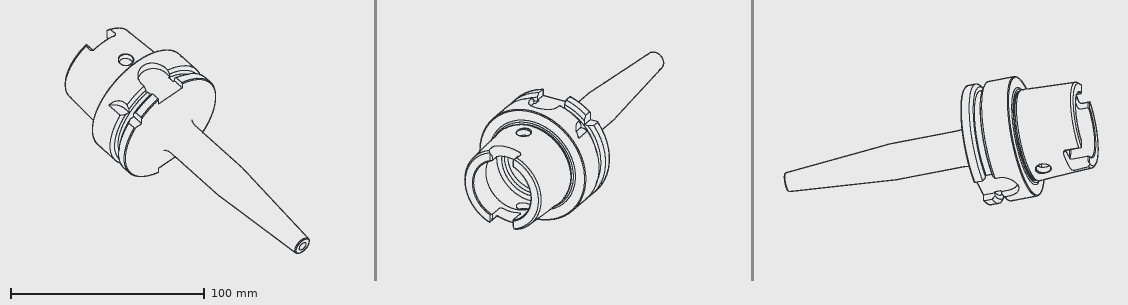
import cadquery as cq
import math

total_length = 162.0
flange_face_x = 32.0
flange_back_x = 58.0
taper_end_x = 30.0
shank_start_x = 67.9
shank_end_x = 104.7

taper_mouth_radius = 22.7
taper_end_radius = 24.05
mouth_chamfer_length = 1.1
mouth_chamfer_depth = 1.0
relief_radius = 23.5
relief_width = 1.0
relief_collar_x = 31.6
relief_collar_radius = 24.6
face_inner_radius = 25.6

flange_radius = 63.0 / 2
flange_chamfer = 0.5
groove_radius = 27.5
groove_start_x = 46.5
groove_wall_start_x = 48.0
groove_wall_radius = 29.6
groove_floor_start_x = 48.3
groove_floor_end_x = 51.7
groove_end_x = 53.3

shank_radius = 19.0 / 2
tip_radius = 10.0 / 2
tip_chamfer = 0.5
root_blend_radius = shank_start_x - flange_back_x

bore_radius = 34.0 / 2
bore_mouth_chamfer = 0.5
clamp_start_x = 13.3
clamp_radius = 40.0 / 2
clamp_cone_length = 1.8
clamp_end_x = 30.0
bore_floor_x = 34.0
bore_floor_chamfer = 1.3
tube_seat_radius = 16.8 / 2
tube_seat_depth = 2.5
coolant_entry_radius = 8.5 / 2
coolant_thread_radius = 6.0 / 2
coolant_thread_end_x = 48.6
coolant_radius = 4.7 / 2

slot_half_width = 6.2
slot_flare_radius = 3.5
slot_flare_start_z = 17.8
slot_corner_radius = 1.6
top_slot_depth = 6.0
bottom_slot_depth = 9.9
slot_mouth_chamfer = 0.8

access_hole_x = 22.8
access_hole_diameter = 7.5
access_hole_rim_diameter = 8.5

keyway_floor_z = 26.5
keyway_start_x = 36.6
keyway_width = 16.2
notch_start_x = 37.0
notch_inset = 19.8
notch_corner_radius = 8.1


def body():
    """Solid of revolution: taper, grooved flange, blended shank and tapered nose."""
    blend_mid_offset = root_blend_radius * (1 - math.sqrt(0.5))
    profile = (
        cq.Workplane("XY")
        .moveTo(0, 0)
        .lineTo(0, taper_mouth_radius - mouth_chamfer_depth)
        .lineTo(mouth_chamfer_length, taper_mouth_radius)
        .lineTo(taper_end_x, taper_end_radius)
        .lineTo(taper_end_x + relief_width, relief_radius)
        .lineTo(relief_collar_x, relief_radius)
        .lineTo(relief_collar_x, relief_collar_radius)
        .lineTo(flange_face_x, face_inner_radius)
        .lineTo(flange_face_x, flange_radius - flange_chamfer)
        .lineTo(flange_face_x + flange_chamfer, flange_radius)
        .lineTo(groove_start_x, flange_radius)
        .lineTo(groove_wall_start_x, groove_wall_radius)
        .lineTo(groove_floor_start_x, groove_radius)
        .lineTo(groove_floor_end_x, groove_radius)
        .lineTo(groove_floor_end_x, groove_wall_radius)
        .lineTo(groove_end_x, flange_radius)
        .lineTo(flange_back_x - flange_chamfer, flange_radius)
        .lineTo(flange_back_x, flange_radius - flange_chamfer)
        .lineTo(flange_back_x, shank_radius + root_blend_radius)
        .threePointArc(
            (flange_back_x + blend_mid_offset, shank_radius + blend_mid_offset),
            (shank_start_x, shank_radius),
        )
        .lineTo(shank_end_x, shank_radius)
        .lineTo(total_length - tip_chamfer, tip_radius)
        .lineTo(total_length, tip_radius - tip_chamfer)
        .lineTo(total_length, 0)
        .close()
    )
    return profile.revolve(360, (0, 0, 0), (1, 0, 0))


def bore():
    """Clamping bore with its undercut, tube seat and through coolant hole."""
    seat_x = bore_floor_x + tube_seat_depth
    entry_depth = coolant_entry_radius - coolant_thread_radius
    profile = (
        cq.Workplane("XY")
        .moveTo(0, 0)
        .lineTo(0, bore_radius + bore_mouth_chamfer)
        .lineTo(bore_mouth_chamfer, bore_radius)
        .lineTo(clamp_start_x, bore_radius)
        .lineTo(clamp_start_x + clamp_cone_length, clamp_radius)
        .lineTo(clamp_end_x, clamp_radius)
        .lineTo(clamp_end_x, bore_radius)
        .lineTo(bore_floor_x - bore_floor_chamfer, bore_radius)
        .lineTo(bore_floor_x, bore_radius - bore_floor_chamfer)
        .lineTo(bore_floor_x, tube_seat_radius)
        .lineTo(seat_x, tube_seat_radius)
        .lineTo(seat_x, coolant_entry_radius)
        .lineTo(seat_x + entry_depth, coolant_thread_radius)
        .lineTo(coolant_thread_end_x, coolant_thread_radius)
        .lineTo(coolant_thread_end_x, coolant_radius)
        .lineTo(total_length, coolant_radius)
        .lineTo(total_length, 0)
        .close()
    )
    return profile.revolve(360, (0, 0, 0), (1, 0, 0))


def drive_slot(depth):
    """Cutter for the slot on the +Z side: straight walls flaring out at the rim."""
    rim_half_width = slot_half_width + slot_flare_radius
    rim_z = slot_flare_start_z + slot_flare_radius
    flare_mid_y = slot_half_width + slot_flare_radius * (1 - math.sqrt(0.5))
    flare_mid_z = slot_flare_start_z + slot_flare_radius * math.sqrt(0.5)
    slot = (
        cq.Workplane("YZ")
        .moveTo(-slot_half_width, 0)
        .lineTo(-slot_half_width, slot_flare_start_z)
        .threePointArc((-flare_mid_y, flare_mid_z), (-rim_half_width, rim_z))
        .lineTo(-rim_half_width, flange_radius)
        .lineTo(rim_half_width, flange_radius)
        .lineTo(rim_half_width, rim_z)
        .threePointArc((flare_mid_y, flare_mid_z), (slot_half_width, slot_flare_start_z))
        .lineTo(slot_half_width, 0)
        .close()
        .extrude(depth)
    )
    slot = slot.faces(">X").edges("not(|Y or >Z)").fillet(slot_corner_radius)
    mouth_half_width = slot_half_width + slot_mouth_chamfer
    mouth = (
        cq.Workplane("XY")
        .moveTo(0, -mouth_half_width)
        .lineTo(slot_mouth_chamfer, -slot_half_width)
        .lineTo(slot_mouth_chamfer, slot_half_width)
        .lineTo(0, mouth_half_width)
        .close()
        .extrude(flange_radius)
    )
    return slot.union(mouth)


def access_hole():
    """Cutter for the cross hole along Z with a countersunk rim at both ends."""
    wall_slope = (taper_end_radius - taper_mouth_radius) / (taper_end_x - mouth_chamfer_length)
    rim_z = taper_mouth_radius + wall_slope * (access_hole_x - mouth_chamfer_length)
    hole_radius = access_hole_diameter / 2
    rim_radius = access_hole_rim_diameter / 2
    half_profile = (
        cq.Workplane("XZ")
        .lineTo(hole_radius, 0)
        .lineTo(hole_radius, rim_z - (rim_radius - hole_radius))
        .lineTo(rim_radius, rim_z)
        .lineTo(rim_radius, flange_radius)
        .lineTo(0, flange_radius)
        .close()
    )
    upper = half_profile.revolve(360, (0, 0, 0), (0, 1, 0)).translate((access_hole_x, 0, 0))
    return upper.union(below(upper))


def keyway():
    """Cutter for the flat-floored keyway on the +Z side, open at the flange back."""
    end_radius = keyway_width / 2
    arc_center_x = keyway_start_x + end_radius
    return (
        cq.Workplane("XY", origin=(0, 0, keyway_floor_z))
        .moveTo(flange_back_x, -end_radius)
        .lineTo(arc_center_x, -end_radius)
        .threePointArc((keyway_start_x, 0), (arc_center_x, end_radius))
        .lineTo(flange_back_x, end_radius)
        .close()
        .extrude(flange_radius)
    )


def index_notch():
    """Cutter for the corner notch between the +Z and -Y sides of the flange."""
    length = flange_back_x - notch_start_x
    return (
        cq.Workplane("XY")
        .box(length, flange_radius, flange_radius, centered=False)
        .edges("|Z and <X and >Y")
        .fillet(notch_corner_radius)
        .translate((notch_start_x, -notch_inset - flange_radius, notch_inset))
    )


def below(cutter):
    """Copy of a +Z cutter turned half way round the X axis to the -Z side."""
    return cutter.rotate((0, 0, 0), (1, 0, 0), 180)


result = body().cut(bore())
result = result.cut(drive_slot(top_slot_depth)).cut(below(drive_slot(bottom_slot_depth)))
result = result.cut(access_hole())
result = result.cut(keyway()).cut(below(keyway()))
result = result.cut(index_notch())